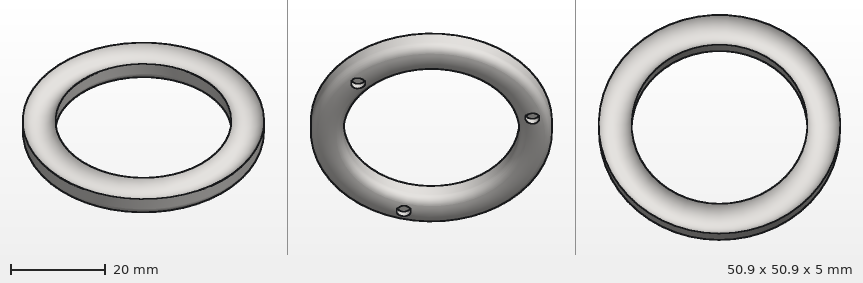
import cadquery as cq
import math

outer_diameter = 50.85
bore_diameter = 37.0
height = 5.0

outer_radius = outer_diameter / 2
bore_radius = bore_diameter / 2
middle_radius = (outer_radius + bore_radius) / 2
half_width = (outer_radius - bore_radius) / 2

trough_depth = 2.1

crown_radius = 7.4
corner_radius = 2.0

hole_diameter = 3.0
hole_depth = 1.55
hole_count = 3

corner_offset = half_width - corner_radius
blend_angle = math.asin(corner_offset / (crown_radius - corner_radius))
corner_height = crown_radius - (crown_radius - corner_radius) * math.cos(blend_angle)


def corner_point(side, angle):
    """Point on a corner arc; side is +1 at the outer wall, -1 at the bore, angle is from straight down."""
    return (
        middle_radius + side * (corner_offset + corner_radius * math.sin(angle)),
        corner_height - corner_radius * math.cos(angle),
    )


def ring_body():
    """Revolve the section, drawn with radius along X and height along Y, about the ring axis."""
    middle_angle = (blend_angle + math.pi / 2) / 2
    section = (
        cq.Workplane("XZ")
        .moveTo(bore_radius, height)
        .threePointArc((middle_radius, height - trough_depth), (outer_radius, height))
        .lineTo(outer_radius, corner_height)
        .threePointArc(corner_point(1, middle_angle), corner_point(1, blend_angle))
        .threePointArc((middle_radius, 0), corner_point(-1, blend_angle))
        .threePointArc(corner_point(-1, middle_angle), (bore_radius, corner_height))
        .close()
    )
    return section.revolve(360, (0, 0, 0), (0, 1, 0))


def underside_holes():
    """Equally spaced cylinders, the first on +X, that cut the blind holes."""
    return (
        cq.Workplane("XY")
        .polarArray(middle_radius, 0, 360, hole_count)
        .circle(hole_diameter / 2)
        .extrude(hole_depth)
    )


result = ring_body().cut(underside_holes())